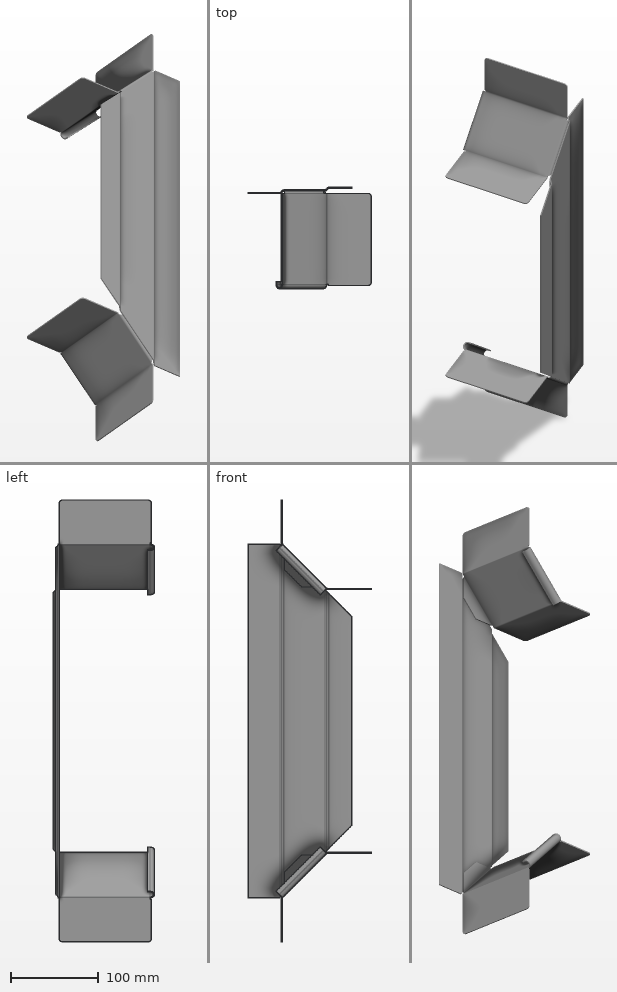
import cadquery as cq
import math

thickness = 1.5
bend_inner_radius = 1.0
bend_outer_radius = bend_inner_radius + thickness
fold_shift = thickness * math.tan(math.pi / 8)
total_height = 502.5
total_width = 140.0
total_depth = 115.5

step_depth = 2 * thickness
first_step_x = 36.5
second_step_x = 88.0
panel_right_x = 118.0
panel_half_height = 201.0
trim_start_x = 35.5

upright_x = 39.0
level_z = 150.5
flange_corner_radius = 4.0
flange_front_y = -112.0
relief_margin = 1.5
slope_drop = panel_half_height - level_z
slope_length = slope_drop * math.sqrt(2)
level_corner_x = upright_x + slope_drop

hem_radius = 5.0
hem_flat = 0.5
hem_lip = 3.0
hem_start_y = -(total_depth - hem_radius)

tab_width = 19.0
tab_left_x = 41.0
tab_lowest_z = 152.0
tab_back_y = -(step_depth + thickness)
bracket_back_y = tab_back_y - bend_outer_radius


def round_upright_edge(sheet, corner, radius):
    """Fillet the edge along Z that passes through one (x, y) corner."""
    x, y = corner
    return sheet.edges(cq.selectors.NearestToPointSelector((x, y, 0))).fillet(radius)


def make_panel():
    """Stepped sheet, with its right part trimmed to the slope of the brackets."""
    rear_y = [-2 * step_depth, -step_depth, 0]
    rear_line = [
        (0, rear_y[0]),
        (first_step_x, rear_y[0]),
        (first_step_x + step_depth, rear_y[1]),
        (second_step_x, rear_y[1]),
        (second_step_x + step_depth, rear_y[2]),
        (panel_right_x, rear_y[2]),
    ]
    front_line = [
        (0, rear_y[0] - thickness),
        (first_step_x + fold_shift, rear_y[0] - thickness),
        (first_step_x + step_depth + fold_shift, rear_y[1] - thickness),
        (second_step_x + fold_shift, rear_y[1] - thickness),
        (second_step_x + step_depth + fold_shift, rear_y[2] - thickness),
        (panel_right_x, rear_y[2] - thickness),
    ]
    sheet = (
        cq.Workplane("XY")
        .workplane(offset=-panel_half_height)
        .polyline(rear_line + front_line[::-1])
        .close()
        .extrude(2 * panel_half_height)
    )
    folds = zip(rear_line[1:-1], front_line[1:-1])
    for index, (rear_corner, front_corner) in enumerate(folds):
        turns_back = index % 2 == 0
        rear_radius = bend_inner_radius if turns_back else bend_outer_radius
        front_radius = bend_outer_radius if turns_back else bend_inner_radius
        sheet = round_upright_edge(sheet, rear_corner, rear_radius)
        sheet = round_upright_edge(sheet, front_corner, front_radius)
    right_half_height = panel_half_height - (panel_right_x - trim_start_x)
    outline = (
        cq.Workplane("XZ")
        .moveTo(0, -panel_half_height)
        .lineTo(trim_start_x, -panel_half_height)
        .lineTo(panel_right_x, -right_half_height)
        .lineTo(panel_right_x, right_half_height)
        .lineTo(trim_start_x, panel_half_height)
        .lineTo(0, panel_half_height)
        .close()
        .extrude(total_depth)
    )
    return sheet.intersect(outline)


def make_folded_plate():
    """Upright flange, sloped plate and level flange folded from one strip."""
    inner_x = upright_x - thickness
    inner_z = level_z - thickness
    plate = (
        cq.Workplane("XZ", origin=(0, bracket_back_y, 0))
        .moveTo(upright_x, total_height / 2)
        .lineTo(upright_x, panel_half_height)
        .lineTo(level_corner_x, level_z)
        .lineTo(total_width, level_z)
        .lineTo(total_width, inner_z)
        .lineTo(level_corner_x - fold_shift, inner_z)
        .lineTo(inner_x, panel_half_height - fold_shift)
        .lineTo(inner_x, total_height / 2)
        .close()
        .extrude(bracket_back_y - flange_front_y)
    )
    mid_y = (bracket_back_y + flange_front_y) / 2
    folds = [
        (upright_x, panel_half_height, bend_outer_radius),
        (inner_x, panel_half_height - fold_shift, bend_inner_radius),
        (level_corner_x, level_z, bend_inner_radius),
        (level_corner_x - fold_shift, inner_z, bend_outer_radius),
    ]
    for x, z, radius in folds:
        edge = cq.selectors.NearestToPointSelector((x, mid_y, z))
        plate = plate.edges(edge).fillet(radius)
    plate = plate.faces(">Z").edges("|X").fillet(flange_corner_radius)
    plate = plate.faces(">X").edges("|Z").fillet(flange_corner_radius)
    relief = (
        cq.Workplane("XZ", origin=(0, hem_start_y, 0))
        .moveTo(inner_x - relief_margin, inner_z - relief_margin)
        .lineTo(level_corner_x + relief_margin, inner_z - relief_margin)
        .lineTo(level_corner_x + relief_margin, panel_half_height + relief_margin)
        .lineTo(inner_x - relief_margin, panel_half_height + relief_margin)
        .close()
        .extrude(total_depth)
    )
    return plate.cut(relief)


def slope_section():
    """Plane square to the slope: local x runs inward from its outer face, local y along Y."""
    return cq.Workplane(
        cq.Plane(origin=(upright_x, 0, panel_half_height), xDir=(-1, 0, -1), normal=(1, 0, -1))
    )


def make_hem():
    """Two quarter-round bends with a narrow flat between them, then a short straight return."""
    inner_radius = hem_radius - thickness
    flat_end = hem_radius + hem_flat
    far_side = flat_end + hem_radius
    return (
        slope_section()
        .moveTo(0, hem_start_y)
        .radiusArc((hem_radius, -total_depth), -hem_radius)
        .lineTo(flat_end, -total_depth)
        .radiusArc((far_side, hem_start_y), -hem_radius)
        .lineTo(far_side, hem_start_y + hem_lip)
        .lineTo(far_side - thickness, hem_start_y + hem_lip)
        .lineTo(far_side - thickness, hem_start_y)
        .radiusArc((flat_end, thickness - total_depth), inner_radius)
        .lineTo(hem_radius, thickness - total_depth)
        .radiusArc((thickness, hem_start_y), inner_radius)
        .close()
        .extrude(slope_length)
    )


def make_tab():
    """Tab turned inward by a rounded bend, with its ends cut upright and level."""
    front_y = tab_back_y - thickness
    strip = (
        slope_section()
        .moveTo(0, bracket_back_y)
        .radiusArc((bend_outer_radius, tab_back_y), bend_outer_radius)
        .lineTo(tab_width, tab_back_y)
        .lineTo(tab_width, front_y)
        .lineTo(bend_outer_radius, front_y)
        .radiusArc((thickness, bracket_back_y), -bend_inner_radius)
        .close()
        .extrude(slope_length)
    )
    keep = cq.Workplane("XY").box(total_width, total_depth, total_height, centered=False)
    return strip.intersect(keep.translate((tab_left_x, -total_depth, tab_lowest_z)))


def make_upper_bracket():
    """Folded plate with its hem and tab, joined into one solid for the top end."""
    return make_folded_plate().union(make_hem()).union(make_tab())


panel = make_panel()

brackets = []
for upside_down in (False, True):
    bracket = make_upper_bracket()
    if upside_down:
        bracket = bracket.mirror("XY")
    brackets.append(bracket)

result = cq.Compound.makeCompound([panel.val(), *[bracket.val() for bracket in brackets]])